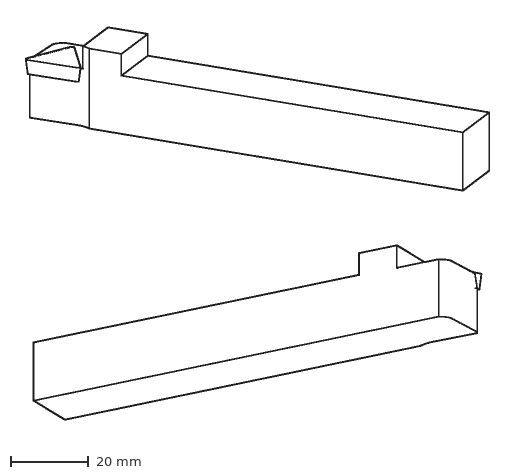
import cadquery as cq
import math

length = 124.4
shank_width = 16.0
shank_height = 16.0
step_height = 22.0
step_start = 16.2
step_end = 27.5
head_height = 15.8

insert_side = 16.4
insert_thickness = 4.1
triangle_angle = 60.0
nose_radius = 0.8
relief_angle = 7.0
lead_angle = 1.5

head_left = 0.7
head_front = 0.6
nose_corner_radius = 0.9
relief_start = 14.3
relief_end = 18.4
back_arc_start = (1.5, 13.1)
back_arc_radius = 2.5
back_arc_angle = 55.0
back_flat_end = 3.7


def holder_outline():
    """Plan outline of the whole holder."""
    lead_slope = math.tan(math.radians(lead_angle))
    relief_y = head_front + (relief_start - head_left) * lead_slope
    start_x, start_y = back_arc_start

    def back_arc_point(angle):
        turn = math.radians(angle)
        return (
            start_x + back_arc_radius * (1 - math.cos(turn)),
            start_y + back_arc_radius * math.sin(turn),
        )

    return (
        cq.Workplane("XY")
        .moveTo(head_left, head_front)
        .lineTo(relief_start, relief_y)
        .tangentArcPoint((relief_end, 0), relative=False)
        .lineTo(length, 0)
        .lineTo(length, shank_width)
        .lineTo(back_flat_end, shank_width)
        .lineTo(*back_arc_point(back_arc_angle))
        .threePointArc(back_arc_point(back_arc_angle / 2), back_arc_start)
        .close()
    )


def insert_prism(corner_radius):
    """Tapered triangular prism; a zero corner radius leaves its corners sharp."""
    inset = nose_radius - corner_radius
    side = insert_side - 2 * math.sqrt(3) * corner_radius
    corner_distance = 2 * inset
    bisector = math.radians(lead_angle + triangle_angle / 2)
    corner_x = nose_radius - corner_distance * math.cos(bisector)
    corner_y = nose_radius - corner_distance * math.sin(bisector)

    def far_corner(angle):
        direction = math.radians(lead_angle + angle)
        return (corner_x + side * math.cos(direction), corner_y + side * math.sin(direction))

    triangle = (
        cq.Workplane("XY", origin=(0, 0, shank_height))
        .polyline([(corner_x, corner_y), far_corner(0), far_corner(triangle_angle)])
        .close()
    )
    if corner_radius > 0:
        triangle = triangle.offset2D(corner_radius, "arc")
    return triangle.extrude(-insert_thickness, taper=relief_angle)


def make_holder():
    """Shank with a raised step and a lower head that carries the insert pocket."""
    holder = holder_outline().extrude(step_height)
    nose_edge = cq.selectors.NearestToPointSelector((head_left, head_front, step_height / 2))
    holder = holder.edges(nose_edge).fillet(nose_corner_radius)
    above_head = cq.Workplane("XY", origin=(0, 0, head_height)).box(
        step_start, shank_width, step_height, centered=False
    )
    above_shank = cq.Workplane("XY", origin=(step_end, 0, shank_height)).box(
        length, shank_width, step_height, centered=False
    )
    pocket = insert_prism(0)
    return holder.cut(above_head).cut(above_shank).cut(pocket)


holder = make_holder()
insert = insert_prism(nose_radius)

result = cq.Compound.makeCompound([holder.solids().val(), insert.solids().val()])